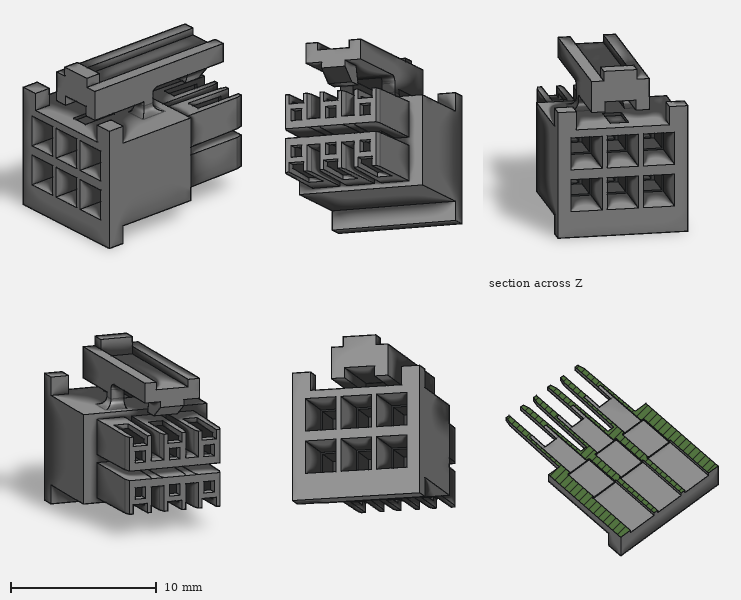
import cadquery as cq

WIDTH = 9.09
LENGTH = 12.93
HEIGHT = 11.47
MID_Z = 4.47

BODY_END = 7.35
BODY_BOTTOM = 1.35
BODY_TOP = 7.65
FLANGE_DEPTH = 1.25
POST_WIDTH = 1.29
POST_TOP = 8.95

POCKET_WIDTH = 1.29
POCKET_START = 1.19
POCKET_LENGTH = 2.59
POCKET_DEPTH = 0.22

COLUMN_PITCH = 2.53
COLUMN_X = (-COLUMN_PITCH, 0.0, COLUMN_PITCH)
PRONG_OFFSET = 1.53
PRONG_BASE = (2.03, 2.48)
PRONG_END_WIDTH = 1.86
PRONG_TIP = (1.6, 2.38)
TIP_CHAMFER = 0.49

GROOVE_DEPTH = 1.68
WEB_TIP_DROP = (PRONG_END_WIDTH - PRONG_TIP[0]) / 2
WEB_WIDTH = 2 * COLUMN_PITCH
ROW_WEB_END = 9.88

CAVITY_OFFSET = 1.49
MOUTH = (2.17, 2.28)
MOUTH_END = 3.88
THROAT = (1.97, 2.05)
THROAT_END = 6.46
CHAMBER = (1.53, 1.87)
CHAMBER_TAPER = 0.09
END_WALL = 0.7
PIN_HOLE = (0.76, 0.8)
PIN_OFFSET = 1.28
SLOT_WIDTH = 1.05
SLOT_FLOOR = 2.05
SLOT_START = 9.28

LEVER_WIDTH = 4.03
LEVER_START = 0.85
LEVER_END = LENGTH - TIP_CHAMFER
LEVER_TOP = 10.78
LEVER_FRONT_UNDERSIDE = 8.59
LEVER_REAR_UNDERSIDE = 9.39
LEG_START = 5.29
LEG_END = 6.08
LEG_FLARE = 0.61
LEVER_FILLET = 0.48
NOTCH_WIDTH = 2.15
NOTCH_TOP = 9.3
GROOVE_WIDTH = 2.33
GROOVE_FLOOR = 10.25
TAB_LENGTH = 1.14

HOOK_WIDTH = 1.73
HOOK_BOTTOM = 8.11
HOOK_NOSE_Z = 8.97
HOOK_RAMP_END = 11.18
HOOK_ROOT_Y = 10.41
HOOK_CATCH_Y = 10.03
HOOK_CATCH_Z = 8.21


def block(x, y, z):
    """Box spanning the given (low, high) pair along each axis."""
    size = (x[1] - x[0], y[1] - y[0], z[1] - z[0])
    return cq.Workplane("XY").box(*size, centered=False).translate((x[0], y[0], z[0]))


def centered_block(width, y, z):
    return block((-width / 2, width / 2), y, z)


def passage(x, z, size, y):
    """Straight rectangular passage along Y, with its (width, height) centred on x, z."""
    width, height = size
    return block((x - width / 2, x + width / 2), y, (z - height / 2, z + height / 2))


def extrude_across(outline, width):
    """Extrude a YZ outline by width, centred on X = 0."""
    return outline.close().extrude(width / 2, both=True)


def mirror_rows(upper):
    """The given upper-row shape together with its mirror image about MID_Z."""
    return upper.union(upper.mirror("XY", (0, 0, MID_Z)))


def make_body():
    half = WIDTH / 2
    body = centered_block(WIDTH, (0, BODY_END), (BODY_BOTTOM, BODY_TOP))
    body = body.union(centered_block(WIDTH, (0, FLANGE_DEPTH), (0, BODY_TOP)))
    for x in ((-half, POST_WIDTH - half), (half - POST_WIDTH, half)):
        body = body.union(block(x, (0, FLANGE_DEPTH), (0, POST_TOP)))
    pocket_y = (POCKET_START, POCKET_START + POCKET_LENGTH)
    return body.cut(centered_block(POCKET_WIDTH, pocket_y, (BODY_TOP - POCKET_DEPTH, BODY_TOP)))


def make_prong(x):
    """Prong whose plan has the chamfered tip and whose side profile is one straight taper."""
    plan = (
        cq.Workplane("XY")
        .moveTo(-PRONG_BASE[0] / 2, BODY_END)
        .lineTo(-PRONG_END_WIDTH / 2, LENGTH - TIP_CHAMFER)
        .lineTo(-PRONG_TIP[0] / 2, LENGTH)
        .lineTo(PRONG_TIP[0] / 2, LENGTH)
        .lineTo(PRONG_END_WIDTH / 2, LENGTH - TIP_CHAMFER)
        .lineTo(PRONG_BASE[0] / 2, BODY_END)
        .close()
        .extrude(HEIGHT / 2, both=True)
    )
    profile = (
        cq.Workplane("YZ")
        .moveTo(BODY_END, -PRONG_BASE[1] / 2)
        .lineTo(LENGTH, -PRONG_TIP[1] / 2)
        .lineTo(LENGTH, PRONG_TIP[1] / 2)
        .lineTo(BODY_END, PRONG_BASE[1] / 2)
    )
    prong = plan.intersect(extrude_across(profile, WIDTH))
    return prong.translate((x, 0, MID_Z + PRONG_OFFSET))


def make_prong_web():
    """Web joining the upper prongs on the side facing the other row, sloped off at the tips."""
    inner = MID_Z + PRONG_OFFSET - PRONG_TIP[1] / 2
    floor = MID_Z + PRONG_OFFSET + PRONG_TIP[1] / 2 - GROOVE_DEPTH
    outline = (
        cq.Workplane("YZ")
        .moveTo(BODY_END, inner)
        .lineTo(BODY_END, floor)
        .lineTo(LENGTH - TIP_CHAMFER, floor)
        .lineTo(LENGTH, floor - WEB_TIP_DROP)
        .lineTo(LENGTH, inner)
    )
    return extrude_across(outline, WEB_WIDTH)


def make_prongs():
    upper = make_prong_web()
    for x in COLUMN_X:
        upper = upper.union(make_prong(x))
    web_half = PRONG_OFFSET - PRONG_TIP[1] / 2
    web_z = (MID_Z - web_half, MID_Z + web_half)
    row_web = centered_block(WEB_WIDTH, (BODY_END, ROW_WEB_END), web_z)
    return mirror_rows(upper).union(row_web)


def make_chamber(end):
    """Contact chamber whose outer wall closes in slightly from the start of the slot."""
    half_height = CHAMBER[1] / 2
    outline = (
        cq.Workplane("YZ")
        .moveTo(THROAT_END, -half_height)
        .lineTo(THROAT_END, half_height)
        .lineTo(SLOT_START, half_height)
        .lineTo(end, half_height - CHAMBER_TAPER)
        .lineTo(end, -half_height)
    )
    return extrude_across(outline, CHAMBER[0])


def make_cavity(x):
    """Stepped bore of mouth, throat and chamber, a pin hole, and a slot through the outer wall."""
    z = MID_Z + CAVITY_OFFSET
    chamber_end = LENGTH - END_WALL
    cavity = passage(x, z, MOUTH, (0, MOUTH_END))
    cavity = cavity.union(passage(x, z, THROAT, (MOUTH_END, THROAT_END)))
    cavity = cavity.union(make_chamber(chamber_end).translate((x, 0, z)))
    cavity = cavity.union(passage(x, MID_Z + PIN_OFFSET, PIN_HOLE, (chamber_end, LENGTH)))
    slot_x = (x - SLOT_WIDTH / 2, x + SLOT_WIDTH / 2)
    return cavity.union(block(slot_x, (SLOT_START, LENGTH), (MID_Z + SLOT_FLOOR, BODY_TOP)))


def make_cavities():
    upper = make_cavity(COLUMN_X[0])
    for x in COLUMN_X[1:]:
        upper = upper.union(make_cavity(x))
    return mirror_rows(upper)


def make_leg_flare():
    """Base of the legs: concave quarter-round flanks that meet in mitred corners."""
    base_half = LEVER_WIDTH / 2 + LEG_FLARE
    depth = LEG_END - LEG_START + 2 * LEG_FLARE
    y_middle = (LEG_START + LEG_END) / 2

    def flared(plane, half_base):
        half_top = half_base - LEG_FLARE
        top = BODY_TOP + LEG_FLARE
        return (
            cq.Workplane(plane)
            .moveTo(-half_base, BODY_TOP)
            .radiusArc((-half_top, top), -LEG_FLARE)
            .lineTo(half_top, top)
            .radiusArc((half_base, BODY_TOP), -LEG_FLARE)
            .close()
            .extrude(LENGTH, both=True)
        )

    flare = flared("XZ", base_half).intersect(flared("YZ", depth / 2))
    return flare.translate((0, y_middle, 0))


def make_lever():
    outline = (
        cq.Workplane("YZ")
        .moveTo(LEVER_START, LEVER_FRONT_UNDERSIDE)
        .lineTo(LEG_START, LEVER_FRONT_UNDERSIDE)
        .lineTo(LEG_START, BODY_TOP)
        .lineTo(LEG_END, BODY_TOP)
        .lineTo(LEG_END, LEVER_REAR_UNDERSIDE - LEVER_FILLET)
        .radiusArc((LEG_END + LEVER_FILLET, LEVER_REAR_UNDERSIDE), LEVER_FILLET)
        .lineTo(LEVER_END, LEVER_REAR_UNDERSIDE)
        .lineTo(LEVER_END, LEVER_TOP)
        .lineTo(LEVER_START, LEVER_TOP)
    )
    lever = extrude_across(outline, LEVER_WIDTH).union(make_leg_flare())
    lever = lever.cut(centered_block(NOTCH_WIDTH, (0, LENGTH), (BODY_TOP, NOTCH_TOP)))
    tab_end = LEVER_START + TAB_LENGTH
    lever = lever.cut(centered_block(GROOVE_WIDTH, (tab_end, LEVER_END), (GROOVE_FLOOR, LEVER_TOP)))
    return lever.union(centered_block(GROOVE_WIDTH, (LEVER_START, tab_end), (GROOVE_FLOOR, HEIGHT)))


def make_hook():
    outline = (
        cq.Workplane("YZ")
        .moveTo(LEVER_END, GROOVE_FLOOR)
        .lineTo(LEVER_END, HOOK_NOSE_Z)
        .lineTo(HOOK_RAMP_END, HOOK_BOTTOM)
        .lineTo(HOOK_CATCH_Y, HOOK_BOTTOM)
        .lineTo(HOOK_CATCH_Y, HOOK_CATCH_Z)
        .lineTo(HOOK_ROOT_Y, LEVER_REAR_UNDERSIDE)
        .lineTo(HOOK_ROOT_Y, GROOVE_FLOOR)
    )
    return extrude_across(outline, HOOK_WIDTH)


housing = make_body().union(make_prongs()).cut(make_cavities())
result = housing.union(make_lever()).union(make_hook())